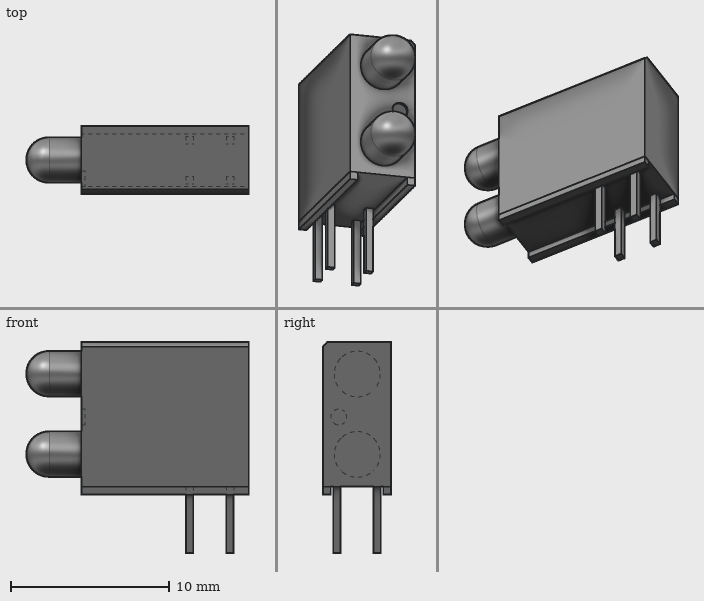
import cadquery as cq

overall_length = 14.06
overall_height = 13.33
housing_width = 4.32

led_radius = 1.45
led_protrusion = 3.49
led_pitch = 5.08
upper_led_drop = 2.01

housing_length = overall_length - led_protrusion
housing_height = 9.14
chamfer_size = 0.3
recess_diameter = 1.0
recess_depth = 0.2
recess_y = -1.17
recess_drop = 4.72

rail_size = 0.5

lead_size = 0.46
lead_pitch = 2.55
rear_lead_inset = 1.2
lead_length = overall_height - housing_height

upper_led_z = housing_height - upper_led_drop
led_heights = [upper_led_z, upper_led_z - led_pitch]
rear_lead_x = housing_length - rear_lead_inset


def make_housing():
    """Block with one chamfered top edge and a shallow round recess in front."""
    block = cq.Workplane("XY").box(
        housing_length, housing_width, housing_height, centered=(False, True, False)
    )
    block = block.edges("|X and >Z and <Y").chamfer(chamfer_size)
    recess = (
        cq.Workplane("YZ")
        .center(recess_y, housing_height - recess_drop)
        .circle(recess_diameter / 2)
        .extrude(recess_depth)
    )
    return block.cut(recess)


def make_led(axis_z):
    """Round LED with a hemispherical tip, seated on the housing front face."""
    dome_start = led_radius - led_protrusion
    return (
        cq.Workplane("XZ")
        .moveTo(0, axis_z)
        .lineTo(-led_protrusion, axis_z)
        .radiusArc((dome_start, axis_z + led_radius), led_radius)
        .lineTo(0, axis_z + led_radius)
        .close()
        .revolve(360, (0, axis_z, 0), (1, axis_z, 0))
    )


def make_rail(side):
    """Square rail flush with the housing flank; side is -1 or +1 along Y."""
    rail_y = side * (housing_width - rail_size) / 2
    return (
        cq.Workplane("XY")
        .center(housing_length / 2, rail_y)
        .rect(housing_length, rail_size)
        .extrude(-rail_size)
    )


def make_lead(x, y):
    """Square lead hanging from the housing underside."""
    return cq.Workplane("XY").center(x, y).rect(lead_size, lead_size).extrude(-lead_length)


housing = make_housing()
leds = [make_led(axis_z) for axis_z in led_heights]
rails = [make_rail(side) for side in (-1, 1)]
leads = [
    make_lead(x, y)
    for x in (rear_lead_x - lead_pitch, rear_lead_x)
    for y in (-lead_pitch / 2, lead_pitch / 2)
]

result = cq.Compound.makeCompound(
    [housing.val()] + [body.val() for body in leds + rails + leads]
)